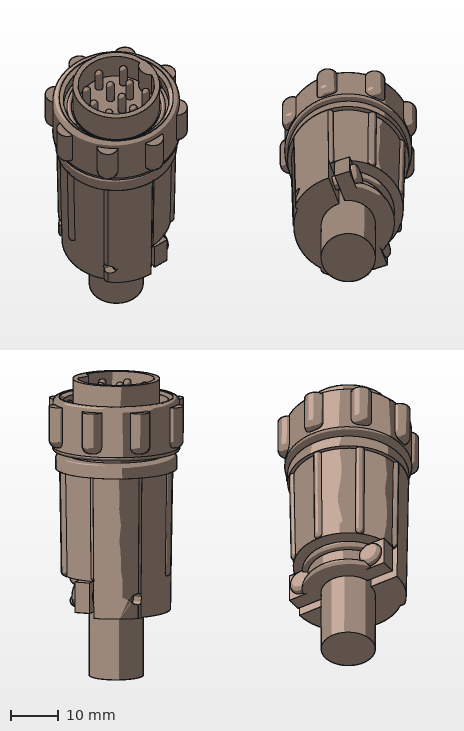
import cadquery as cq
import math

TOTAL_HEIGHT = 62.9
BODY_BOTTOM = 14.1
REAR_BOTTOM = 21.75
COLLAR_BOTTOM = 43.9
COLLAR_TOP = 46.8
RING_BOTTOM = 47.7
RING_TOP = 59.05

CABLE_RADIUS = 5.65
NECK_RADIUS = 10.0
SHELL_RADIUS = 9.05
SHELL_BORE_RADIUS = 7.9
SHELL_FLOOR = 56.7
KEY_RADIUS = 2.6

PIN_RADIUS = 0.8
PIN_TIP = 61.75
PIN_PLACES = [(0, 3.5), (0, -5.8)]
PIN_PLACES += [(x, 0) for x in (-6.0, -2.0, 2.0, 6.0)]
PIN_PLACES += [(x, y) for x in (-3.9, 3.9) for y in (-4.8, 4.8)]

RING_RADIUS = 13.2
RING_FILLET = 1.15
RIM_RADIUS = 13.25
RIM_THICKNESS = 1.1
RING_MOUTH_RADIUS = 11.9
RING_MOUTH_DEPTH = 0.2
RING_BORE_RADIUS = 11.0
RING_BORE_TOP = 58.3
RING_FLOOR = 55.95
SEAL_RADIUS = 9.8
SEAL_THICKNESS = 0.95
LUG_RADIUS = 1.5
LUG_START_Y = 10.45
LUG_END_Y = 10.8

GRIP_COUNT = 8
GRIP_RADIUS = 2.2
GRIP_SPAN = 29.85
GRIP_BOTTOM = 49.15
GRIP_TOP = RING_TOP - RING_FILLET
GRIP_FILLET = 1.5

COLLAR_RADIUS = 12.65
COLLAR_FILLET = 0.6
BODY_TOP_RADIUS = 11.8
BODY_TAPER = 0.47
PANEL_HEIGHT = 0.75
RIB_HEIGHT = 0.7
RIB_RADIUS = 0.95
RIB_OVERLAP = 0.6
RIB_ANGLE = 45

SCREW_X = 8.5
SCREW_Z = 18.2
SCREW_RADIUS = 1.5
SCREW_HOLE_RADIUS = 1.2
SCREW_HOLE_FLOOR_Y = -6.9
HEAD_RADIUS = 2.7
HEAD_HEIGHT = 1.2
HEAD_FILLET = 1.0
CLAMP_HEIGHT = 6.5
CLAMP_HALF_WIDTH = 11.7
CLAMP_NEAR_Y = 1.2
CLAMP_FAR_Y = 4.45
ARCH_RADIUS = 8.5
ARCH_RIM_REACH = 9.6
ARCH_RIM_THICKNESS = 1.75


def cylinder(radius, bottom, top):
    return cq.Workplane("XY").workplane(offset=bottom).circle(radius).extrude(top - bottom)


def cone(bottom_radius, top_radius, bottom, top):
    profile = [(0, bottom), (bottom_radius, bottom), (top_radius, top), (0, top)]
    return cq.Workplane("XZ").polyline(profile).close().revolve(360, (0, 0), (0, 1))


def torus(centre_radius, thickness, height):
    return (
        cq.Workplane("XZ")
        .center(centre_radius, height)
        .circle(thickness / 2)
        .revolve(360, (-centre_radius, 0), (-centre_radius, 1))
    )


def along_y(radius, x, z, start_y, end_y):
    """Cylinder with its axis at (x, z), running in +Y from start_y to end_y."""
    return (
        cq.Workplane("XZ", origin=(x, start_y, z))
        .circle(radius)
        .extrude(start_y - end_y)
    )


def coupling_ring():
    rim_z = RING_BOTTOM + RIM_THICKNESS / 2
    rim_centre = RIM_RADIUS - RIM_THICKNESS / 2
    ring = cylinder(RING_RADIUS, rim_z, RING_TOP).faces(">Z").edges().fillet(RING_FILLET)
    ring = ring.union(cylinder(rim_centre, RING_BOTTOM, rim_z))
    ring = ring.union(torus(rim_centre, RIM_THICKNESS, rim_z))

    grip_centre = GRIP_SPAN / 2 - GRIP_RADIUS
    grip = cylinder(GRIP_RADIUS, GRIP_BOTTOM, GRIP_TOP).faces("<Z").edges().fillet(GRIP_FILLET)
    grip = grip.translate((grip_centre, 0, 0))
    for i in range(GRIP_COUNT):
        ring = ring.union(grip.rotate((0, 0, 0), (0, 0, 1), i * 360 / GRIP_COUNT))

    mouth_floor = RING_TOP - RING_MOUTH_DEPTH
    ring = ring.cut(cylinder(RING_MOUTH_RADIUS, mouth_floor, RING_TOP))
    ring = ring.cut(cone(RING_BORE_RADIUS, RING_MOUTH_RADIUS, RING_BORE_TOP, mouth_floor))
    ring = ring.cut(cylinder(RING_BORE_RADIUS, RING_FLOOR, RING_BORE_TOP))
    ring = ring.union(torus(SEAL_RADIUS, SEAL_THICKNESS, RING_FLOOR))
    lug = along_y(LUG_RADIUS, 0, RING_FLOOR, LUG_START_Y, LUG_END_Y)
    return ring.union(lug).union(lug.mirror("XZ"))


def contact_shell():
    shell = cylinder(SHELL_RADIUS, COLLAR_TOP, TOTAL_HEIGHT)
    key = cylinder(KEY_RADIUS, SHELL_FLOOR, TOTAL_HEIGHT).translate((0, SHELL_RADIUS, 0))
    shell = shell.cut(cylinder(SHELL_BORE_RADIUS, SHELL_FLOOR, TOTAL_HEIGHT).cut(key))
    shoulder = PIN_TIP - PIN_RADIUS
    pin = cylinder(PIN_RADIUS, COLLAR_TOP, shoulder)
    pin = pin.union(cq.Workplane("XY").sphere(PIN_RADIUS).translate((0, 0, shoulder)))
    for x, y in PIN_PLACES:
        shell = shell.union(pin.translate((x, y, 0)))
    return shell


def rib(angle, bottom, rounded):
    """Round rib leaning with the body taper, its lower end domed or plain."""
    slope = BODY_TAPER / (COLLAR_BOTTOM - BODY_BOTTOM)
    height = COLLAR_BOTTOM + RIB_OVERLAP - bottom
    top_centre = BODY_TOP_RADIUS + RIB_HEIGHT - RIB_RADIUS
    bottom_centre = top_centre - slope * (COLLAR_BOTTOM - bottom)
    foot = cq.Vector(bottom_centre, 0, bottom)
    bar = cq.Workplane(cq.Solid.makeCylinder(RIB_RADIUS, height, foot, cq.Vector(slope, 0, 1)))
    if rounded:
        bar = bar.union(cq.Workplane("XY").sphere(RIB_RADIUS).translate(foot))
    return bar.rotate((0, 0, 0), (0, 0, 1), angle)


def side_panels():
    """Raised skins between the side ribs and the front diagonal ribs."""
    top_radius = BODY_TOP_RADIUS + PANEL_HEIGHT
    skin = cone(top_radius - BODY_TAPER, top_radius, BODY_BOTTOM, COLLAR_BOTTOM)
    reach = 2 * top_radius
    edge_x = reach * math.cos(math.radians(RIB_ANGLE))
    edge_y = -reach * math.sin(math.radians(RIB_ANGLE))
    wedge = (
        cq.Workplane("XY")
        .workplane(offset=BODY_BOTTOM)
        .polyline([(0, 0), (reach, 0), (edge_x, edge_y)])
        .close()
        .extrude(COLLAR_BOTTOM - BODY_BOTTOM)
    )
    return skin.intersect(wedge.union(wedge.mirror("YZ")))


def body():
    collar = cylinder(COLLAR_RADIUS, COLLAR_BOTTOM, COLLAR_TOP).faces(">Z").edges().fillet(COLLAR_FILLET)
    core = cone(BODY_TOP_RADIUS - BODY_TAPER, BODY_TOP_RADIUS, BODY_BOTTOM, COLLAR_BOTTOM)
    rear_gap = cq.Workplane("XY").box(
        2 * COLLAR_RADIUS, COLLAR_RADIUS, REAR_BOTTOM - BODY_BOTTOM, centered=(True, False, False)
    )
    shape = core.cut(rear_gap.translate((0, 0, BODY_BOTTOM))).union(side_panels()).union(collar)
    for angle in range(0, 360, RIB_ANGLE):
        front_diagonal = angle in (180 + RIB_ANGLE, 360 - RIB_ANGLE)
        bottom = BODY_BOTTOM - RIB_OVERLAP if front_diagonal else REAR_BOTTOM + RIB_RADIUS
        shape = shape.union(rib(angle, bottom, rounded=not front_diagonal))
    shape = shape.intersect(cylinder(COLLAR_RADIUS, BODY_BOTTOM, COLLAR_TOP))
    for x in (-SCREW_X, SCREW_X):
        shape = shape.cut(along_y(SCREW_HOLE_RADIUS, x, SCREW_Z, -COLLAR_RADIUS, SCREW_HOLE_FLOOR_Y))
    return shape


def cable_clamp():
    bottom = SCREW_Z - CLAMP_HEIGHT / 2
    top = SCREW_Z + CLAMP_HEIGHT / 2
    rim_inset = ARCH_RIM_THICKNESS / 2
    rim_centre = ARCH_RIM_REACH - rim_inset
    arch = cylinder(ARCH_RADIUS, bottom + rim_inset, top - rim_inset)
    for rim_z in (bottom + rim_inset, top - rim_inset):
        arch = arch.union(torus(rim_centre, ARCH_RIM_THICKNESS, rim_z))
        arch = arch.union(cylinder(rim_centre, rim_z - rim_inset, rim_z + rim_inset))
    behind_bar = cq.Workplane("XY").box(
        2 * CLAMP_HALF_WIDTH, ARCH_RIM_REACH, TOTAL_HEIGHT, centered=(True, False, False)
    )
    arch = arch.intersect(behind_bar.translate((0, CLAMP_NEAR_Y, 0)))
    bar = cq.Workplane("XY").box(
        2 * CLAMP_HALF_WIDTH, CLAMP_FAR_Y - CLAMP_NEAR_Y, CLAMP_HEIGHT, centered=(True, False, False)
    )
    clamp = arch.union(bar.translate((0, CLAMP_NEAR_Y, bottom)))
    for x in (-SCREW_X, SCREW_X):
        head = along_y(HEAD_RADIUS, x, SCREW_Z, CLAMP_FAR_Y, CLAMP_FAR_Y + HEAD_HEIGHT)
        clamp = clamp.union(head.faces(">Y").edges().fillet(HEAD_FILLET))
        clamp = clamp.union(along_y(SCREW_RADIUS, x, SCREW_Z, 0, CLAMP_NEAR_Y))
    return clamp


result = (
    cylinder(CABLE_RADIUS, 0, COLLAR_BOTTOM)
    .union(body())
    .union(cable_clamp())
    .union(cylinder(NECK_RADIUS, COLLAR_TOP, RING_BOTTOM))
    .union(coupling_ring())
    .union(contact_shell())
)